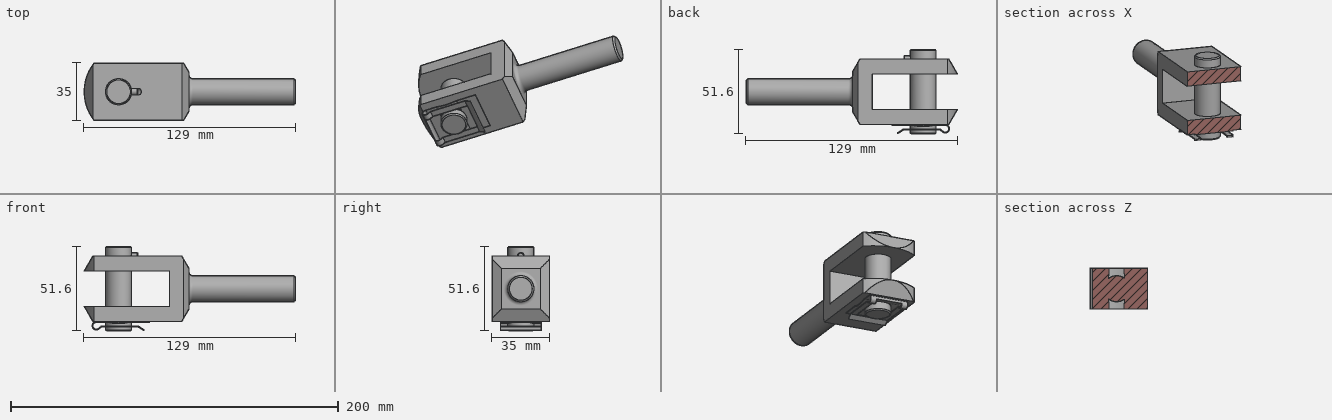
import cadquery as cq
import math

TOTAL_LENGTH = 129.0
FORK_LENGTH = 64.0
FORK_WIDTH = 35.0
FORK_HEIGHT = 40.0
SLOT_DEPTH = 52.0
SLOT_HEIGHT = 21.4
TIP_RADIUS = 28.0
BEVEL_SLOPE = math.tan(math.radians(60))
REAR_BEVEL_TOP = 4.4
REAR_BEVEL_SIDE = 3.2

SHANK_DIAMETER = 16.0
SHANK_CHAMFER = 1.0
NECK_RADIUS = 2.3

PIN_DIAMETER = 16.0
PIN_LENGTH = 51.6
PIN_X = 21.0
PIN_CHAMFER = 0.8
KEY_DIAMETER = 4.1
KEY_END_X = 32.8
KEY_CHAMFER = 0.4
KEY_GROOVE_END_X = 35.0

CLIP_WIDTH = 25.0
CLIP_THICKNESS = 0.5
CLIP_LOOP_X = 7.5
CLIP_LOOP_RADIUS = 2.3
CLIP_UPPER_END_X = 39.7
CLIP_BOW_HALF_LENGTH = 6.6
CLIP_BOW_DROP = 0.8
CLIP_LEG_START_X = 10.6
CLIP_LEG_END_X = 33.2
CLIP_LEG_Z = -23.1
CLIP_TAIL_X = 36.4
CLIP_TAIL_Z = -25.2
CLIP_WINDOW_WIDTH = 17.0

HALF_HEIGHT = FORK_HEIGHT / 2
HALF_WIDTH = FORK_WIDTH / 2
HALF_SLOT = SLOT_HEIGHT / 2


def fork():
    tip_bevel = (HALF_HEIGHT - HALF_SLOT) / BEVEL_SLOPE
    rear_half_height = HALF_HEIGHT - REAR_BEVEL_TOP * BEVEL_SLOPE
    upper = [
        (SLOT_DEPTH, HALF_SLOT),
        (0, HALF_SLOT),
        (tip_bevel, HALF_HEIGHT),
        (FORK_LENGTH - REAR_BEVEL_TOP, HALF_HEIGHT),
        (FORK_LENGTH, rear_half_height),
    ]
    lower = [(x, -z) for x, z in reversed(upper)]
    side = cq.Workplane("XZ").polyline(upper + lower).close().extrude(HALF_WIDTH, both=True)

    tip_edge_x = TIP_RADIUS - math.sqrt(TIP_RADIUS**2 - HALF_WIDTH**2)
    rear_half_width = HALF_WIDTH - REAR_BEVEL_SIDE * BEVEL_SLOPE
    plan = (
        cq.Workplane("XY")
        .moveTo(tip_edge_x, -HALF_WIDTH)
        .lineTo(FORK_LENGTH - REAR_BEVEL_SIDE, -HALF_WIDTH)
        .lineTo(FORK_LENGTH, -rear_half_width)
        .lineTo(FORK_LENGTH, rear_half_width)
        .lineTo(FORK_LENGTH - REAR_BEVEL_SIDE, HALF_WIDTH)
        .lineTo(tip_edge_x, HALF_WIDTH)
        .threePointArc((0, 0), (tip_edge_x, -HALF_WIDTH))
        .close()
        .extrude(HALF_HEIGHT, both=True)
    )
    return side.intersect(plan)


def shank():
    radius = SHANK_DIAMETER / 2
    neck_sweep = NECK_RADIUS * (1 - math.sqrt(0.5))
    return (
        cq.Workplane("XZ")
        .moveTo(SLOT_DEPTH, 0)
        .lineTo(SLOT_DEPTH, radius)
        .lineTo(FORK_LENGTH, radius)
        .lineTo(FORK_LENGTH, radius + NECK_RADIUS)
        .threePointArc(
            (FORK_LENGTH + neck_sweep, radius + neck_sweep),
            (FORK_LENGTH + NECK_RADIUS, radius),
        )
        .lineTo(TOTAL_LENGTH - SHANK_CHAMFER, radius)
        .lineTo(TOTAL_LENGTH, radius - SHANK_CHAMFER)
        .lineTo(TOTAL_LENGTH, 0)
        .close()
        .revolve(360, (0, 0, 0), (1, 0, 0))
    )


def pin():
    return (
        cq.Workplane("XY", origin=(PIN_X, 0, -PIN_LENGTH / 2))
        .circle(PIN_DIAMETER / 2)
        .extrude(PIN_LENGTH)
        .faces("<Z or >Z")
        .chamfer(PIN_CHAMFER)
    )


def key_rod(start_x, end_x):
    return (
        cq.Workplane("YZ", origin=(start_x, 0, HALF_HEIGHT))
        .circle(KEY_DIAMETER / 2)
        .extrude(end_x - start_x)
    )


def key_groove():
    end_centre_x = KEY_GROOVE_END_X - KEY_DIAMETER / 2
    ball = cq.Workplane("XY", origin=(end_centre_x, 0, HALF_HEIGHT)).sphere(KEY_DIAMETER / 2)
    return key_rod(PIN_X, end_centre_x).union(ball)


def clip():
    upper_z = -HALF_HEIGHT - CLIP_THICKNESS / 2
    loop_z = upper_z - CLIP_LOOP_RADIUS
    diagonal = CLIP_LOOP_RADIUS * math.sqrt(0.5)
    centre_line = (
        cq.Workplane("XZ", origin=(0, CLIP_WIDTH / 2, 0))
        .moveTo(CLIP_UPPER_END_X, upper_z)
        .lineTo(PIN_X + CLIP_BOW_HALF_LENGTH, upper_z)
        .threePointArc((PIN_X, upper_z - CLIP_BOW_DROP), (PIN_X - CLIP_BOW_HALF_LENGTH, upper_z))
        .lineTo(CLIP_LOOP_X, upper_z)
        .threePointArc(
            (CLIP_LOOP_X - diagonal, loop_z - diagonal),
            (CLIP_LOOP_X + diagonal, loop_z - diagonal),
        )
        .lineTo(CLIP_LEG_START_X, CLIP_LEG_Z)
        .lineTo(CLIP_LEG_END_X, CLIP_LEG_Z)
        .lineTo(CLIP_TAIL_X, CLIP_TAIL_Z)
    )
    sheet = centre_line.offset2D(CLIP_THICKNESS / 2).extrude(CLIP_WIDTH)

    window_top = CLIP_LEG_Z + CLIP_THICKNESS / 2
    window = (
        cq.Workplane("XY", origin=(CLIP_LEG_END_X / 2, 0, window_top))
        .rect(CLIP_LEG_END_X, CLIP_WINDOW_WIDTH)
        .extrude(-2 * CLIP_LOOP_RADIUS)
    )
    return sheet.cut(window)


key = key_rod(PIN_X, KEY_END_X).faces(">X").chamfer(KEY_CHAMFER)

result = fork().union(shank()).cut(key_groove())
result = result.union(pin()).union(key).union(clip())